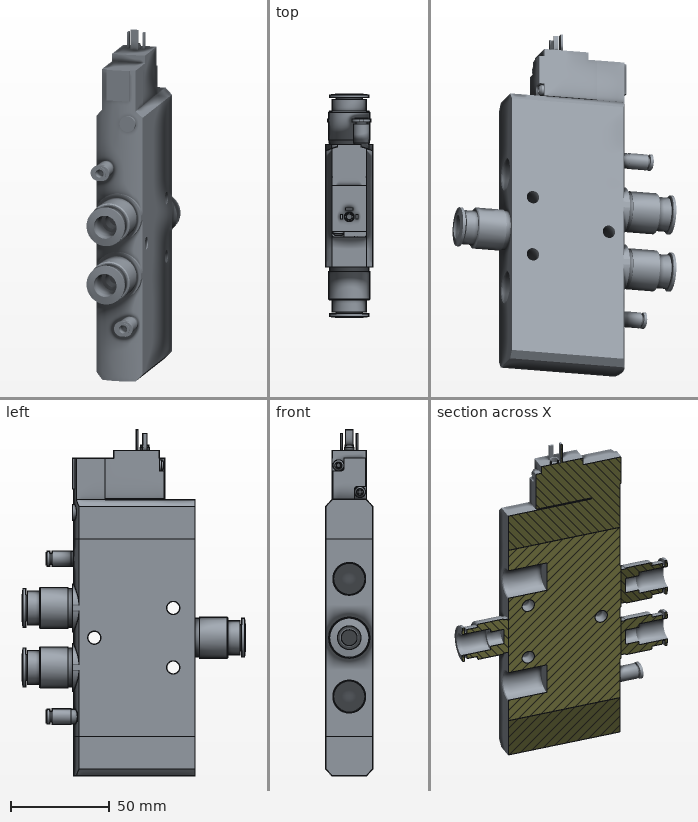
import cadquery as cq

BLOCK_WIDTH = 24.0
BLOCK_HEIGHT = 140.0
CROWN_Y = 61.6
CROWN_RISE = 2.8
EDGE_CHAMFER_X = 3.3
EDGE_CHAMFER_Z = 3.5
CAP_HEIGHT = 20.0
HOUSING_TOP = BLOCK_HEIGHT - CAP_HEIGHT
MID_Z = BLOCK_HEIGHT / 2
CROWN_RADIUS = ((BLOCK_WIDTH / 2) ** 2 + CROWN_RISE ** 2) / (2 * CROWN_RISE)

PORT_DIAMETER = 15.8
PORT_MOUTH_DIAMETER = 16.7
PORT_DEPTH = 21.0
PORT_OFFSET = 29.8
MOUNT_DIAMETER = 6.5
MOUNT_FRONT_Y = 11.0
MOUNT_BACK_Y = 51.0
FITTING_OFFSET = 15.1
BOSS_DIAMETER = 24.2
BOSS_ROOT_Y = 56.2
BOSS_Y = CROWN_Y + 0.5

NECK_DIAMETER = 19.8
NECK_END = 2.3
BARREL_DIAMETER = 20.9
BARREL_END = 16.8
BARREL_CHAMFER = 0.5
COLLAR_DIAMETER = 17.4
COLLAR_END = 22.8
GROOVE_DIAMETER = 13.3
FLANGE_DIAMETER = 19.8
FLANGE_START = 23.7
FLANGE_EDGE_END = 25.1
FITTING_LENGTH = 25.6
TUBE_DIAMETER = 12.0
TUBE_DEPTH = 15.8
FLOW_DIAMETER = 8.0

SMALL_X = 6.1
SMALL_OFFSET = 40.0
SMALL_SEAT_Y = 59.7
SMALL_NECK_DIAMETER = 7.7
SMALL_NECK_END_Y = 62.8
SMALL_BARREL_DIAMETER = 8.0
SMALL_BARREL_END_Y = 72.5
SMALL_GROOVE_DIAMETER = 5.6
SMALL_FLANGE_START_Y = 73.5
SMALL_FLANGE_LENGTH = 1.4
SMALL_FLANGE_WIDTH = 9.7
SMALL_FLANGE_HEIGHT = 7.7
SMALL_LIP_DIAMETER = 6.5
SMALL_LIP_LENGTH = 0.5
SMALL_TUBE_DIAMETER = 4.2
SMALL_TUBE_DEPTH = 10.5

PILOT_WIDTH = 17.5
PILOT_FRONT_Y = 45.6
PILOT_TOP = 161.1
LABEL_WIDTH = 12.0
LABEL_BOTTOM = 145.3
LABEL_ROOT_Y = 59.7
OVERRIDE_DIAMETER = 8.0
OVERRIDE_X = -5.0
OVERRIDE_Z = 133.5
COIL_WIDTH = 17.4
COIL_GAP = 0.4
COIL_TOP = 165.0
COIL_BACK_Y = 41.2
COIL_FRONT_Y = 18.0
PLATE_FRONT_Y = 15.3
PLATE_CHAMFER = 0.5
SCREW_X = 5.5
SCREW_UPPER_Z = 157.5
SCREW_LOWER_Z = 143.9
SCREW_DIAMETER = 5.6
SCREW_SOCKET_DIAMETER = 2.3
SCREW_HEIGHT = 2.1
SCREW_CHAMFER = 1.0
SCREW_POCKET_REACH = 2.8
SCREW_POCKET_FILLET = 1.5

CONTACT_Y = 25.5
POST_DIAMETER = 5.0
POST_HEIGHT = 1.5
POST_TIP_DIAMETER = 4.2
POST_TIP_HEIGHT = 1.0
POST_HOLE_DIAMETER = 3.0
SIDE_BLADE_X = 4.0
SIDE_BLADE_THICKNESS = 1.0
SIDE_BLADE_WIDTH = 2.3
SIDE_BLADE_TOP = 173.5
MIDDLE_BLADE_Y = 29.3
MIDDLE_BLADE_THICKNESS = 1.0
MIDDLE_BLADE_WIDTH = 3.9
OVERALL_TOP = 175.5


def box(x_range, y_range, z_range):
    """Box between the given limits."""
    size = [high - low for low, high in (x_range, y_range, z_range)]
    corner = (x_range[0], y_range[0], z_range[0])
    return cq.Workplane("XY").box(*size, centered=False).translate(corner)


def y_cylinder(diameter, x, z, y_start, y_end):
    """Cylinder along Y between two Y positions."""
    plane = cq.Workplane("XZ", origin=(x, y_start, z))
    return plane.circle(diameter / 2).extrude(y_start - y_end)


def crowned_prism(width, y_front, z_low, z_high):
    """Upright prism whose +Y side follows the common crown arc."""
    half = width / 2
    edge_y = CROWN_Y - CROWN_RADIUS + (CROWN_RADIUS ** 2 - half ** 2) ** 0.5
    return (
        cq.Workplane("XY", origin=(0, 0, z_low))
        .moveTo(-half, y_front)
        .lineTo(half, y_front)
        .lineTo(half, edge_y)
        .threePointArc((0, CROWN_Y), (-half, edge_y))
        .close()
        .extrude(z_high - z_low)
    )


def block_slice(z_low, z_high):
    """Part of the valve block between two heights, with its top and bottom edges bevelled."""
    half = BLOCK_WIDTH / 2
    flat = half - EDGE_CHAMFER_X
    shoulder = BLOCK_HEIGHT - EDGE_CHAMFER_Z
    outline = (
        cq.Workplane("XZ")
        .polyline([
            (-flat, 0), (flat, 0), (half, EDGE_CHAMFER_Z), (half, shoulder),
            (flat, BLOCK_HEIGHT), (-flat, BLOCK_HEIGHT), (-half, shoulder), (-half, EDGE_CHAMFER_Z),
        ])
        .close()
        .extrude(-CROWN_Y)
    )
    return crowned_prism(BLOCK_WIDTH, 0, z_low, z_high).intersect(outline)


def make_housing():
    """Middle of the valve block, with its ports, mounting holes and fitting seats."""
    housing = block_slice(CAP_HEIGHT, HOUSING_TOP)
    side_limits = box(
        (-BLOCK_WIDTH / 2, BLOCK_WIDTH / 2), (0, BOSS_Y), (CAP_HEIGHT, HOUSING_TOP)
    )
    for side in (-1, 1):
        boss = y_cylinder(BOSS_DIAMETER, 0, MID_Z + side * FITTING_OFFSET, BOSS_ROOT_Y, BOSS_Y)
        housing = housing.union(boss.intersect(side_limits))

    mouth_chamfer = (PORT_MOUTH_DIAMETER - PORT_DIAMETER) / 2
    for side in (-1, 1):
        z = MID_Z + side * PORT_OFFSET
        bore = y_cylinder(PORT_DIAMETER, 0, z, 0, PORT_DEPTH)
        mouth = (
            cq.Workplane("XZ", origin=(0, 0, z))
            .circle(PORT_MOUTH_DIAMETER / 2)
            .workplane(offset=-mouth_chamfer)
            .circle(PORT_DIAMETER / 2)
            .loft()
        )
        housing = housing.cut(bore).cut(mouth)

    mount_points = [
        (MOUNT_FRONT_Y, MID_Z - FITTING_OFFSET),
        (MOUNT_FRONT_Y, MID_Z + FITTING_OFFSET),
        (MOUNT_BACK_Y, MID_Z),
    ]
    mounts = cq.Workplane("YZ").pushPoints(mount_points).circle(MOUNT_DIAMETER / 2)
    housing = housing.cut(mounts.extrude(BLOCK_WIDTH / 2, both=True))

    for side in (-1, 1):
        z = MID_Z + side * SMALL_OFFSET
        seat = y_cylinder(SMALL_NECK_DIAMETER, side * SMALL_X, z, SMALL_SEAT_Y, BOSS_Y)
        housing = housing.cut(seat)
    return housing


def make_coil():
    """Solenoid coil just clear of the block top, with its stepped front plate and two screw heads."""
    half = COIL_WIDTH / 2
    bottom = BLOCK_HEIGHT + COIL_GAP
    coil = box((-half, half), (COIL_FRONT_Y, PILOT_FRONT_Y), (bottom, PILOT_TOP))
    coil = coil.union(box((-half, half), (COIL_FRONT_Y, COIL_BACK_Y), (bottom, COIL_TOP)))

    plate = box((-half, half), (PLATE_FRONT_Y, COIL_FRONT_Y), (bottom, PILOT_TOP))
    plate = plate.faces("<Y").edges("|Z").chamfer(PLATE_CHAMFER)
    inner_x = SCREW_X - SCREW_POCKET_REACH
    pocket_depth = (PLATE_FRONT_Y, COIL_FRONT_Y)
    upper_pocket = box((-half, -inner_x), pocket_depth, (SCREW_UPPER_Z - SCREW_POCKET_REACH, PILOT_TOP))
    upper_pocket = upper_pocket.edges("|Y and >X and <Z").fillet(SCREW_POCKET_FILLET)
    lower_pocket = box((inner_x, half), pocket_depth, (bottom, SCREW_LOWER_Z + SCREW_POCKET_REACH))
    lower_pocket = lower_pocket.edges("|Y and <X and >Z").fillet(SCREW_POCKET_FILLET)
    coil = coil.union(plate.cut(upper_pocket).cut(lower_pocket))

    for x, z in ((-SCREW_X, SCREW_UPPER_Z), (SCREW_X, SCREW_LOWER_Z)):
        head_y = COIL_FRONT_Y - SCREW_HEIGHT
        head = y_cylinder(SCREW_DIAMETER, x, z, head_y, COIL_FRONT_Y)
        head = head.faces("<Y").chamfer(SCREW_CHAMFER)
        socket = y_cylinder(SCREW_SOCKET_DIAMETER, x, z, head_y, COIL_FRONT_Y)
        coil = coil.union(head.cut(socket))
    return coil


def make_contacts():
    """List of the hollow post, the two side blades and the taller middle blade."""
    post = cq.Workplane("XY", origin=(0, CONTACT_Y, COIL_TOP))
    post = post.circle(POST_DIAMETER / 2).extrude(POST_HEIGHT)
    post = post.faces(">Z").workplane().circle(POST_TIP_DIAMETER / 2).extrude(POST_TIP_HEIGHT)
    post = post.faces(">Z").workplane().hole(POST_HOLE_DIAMETER, POST_HEIGHT + POST_TIP_HEIGHT)
    contacts = [post]
    for side in (-1, 1):
        height = SIDE_BLADE_TOP - COIL_TOP
        blade = cq.Workplane("XY", origin=(side * SIDE_BLADE_X, CONTACT_Y, COIL_TOP))
        blade = blade.rect(SIDE_BLADE_THICKNESS, SIDE_BLADE_WIDTH).extrude(height)
        contacts.append(blade)
    middle = cq.Workplane("XY", origin=(0, MIDDLE_BLADE_Y, COIL_TOP))
    middle = middle.rect(MIDDLE_BLADE_WIDTH, MIDDLE_BLADE_THICKNESS).extrude(OVERALL_TOP - COIL_TOP)
    contacts.append(middle)
    return contacts


def make_top_cap():
    """Top end of the valve block carrying the pilot block, the coil and its contacts."""
    cap = block_slice(HOUSING_TOP, BLOCK_HEIGHT)
    cap = cap.union(crowned_prism(PILOT_WIDTH, PILOT_FRONT_Y, BLOCK_HEIGHT, PILOT_TOP))
    label = box((-LABEL_WIDTH / 2, LABEL_WIDTH / 2), (LABEL_ROOT_Y, BOSS_Y), (LABEL_BOTTOM, PILOT_TOP))
    cap = cap.union(label)
    cap = cap.union(y_cylinder(OVERRIDE_DIAMETER, OVERRIDE_X, OVERRIDE_Z, BOSS_ROOT_Y, BOSS_Y))
    cap = cap.union(make_coil())
    for contact in make_contacts():
        cap = cap.union(contact)
    return cap


def make_large_fitting():
    """Push-in fitting standing on Y = 0 and pointing along +Y."""
    neck = NECK_DIAMETER / 2
    barrel = BARREL_DIAMETER / 2
    collar = COLLAR_DIAMETER / 2
    groove = GROOVE_DIAMETER / 2
    flange = FLANGE_DIAMETER / 2
    tube = TUBE_DIAMETER / 2
    flow = FLOW_DIAMETER / 2
    tube_floor = FITTING_LENGTH - TUBE_DEPTH
    return (
        cq.Workplane("XY")
        .polyline([
            (0, 0), (neck, 0), (neck, NECK_END), (barrel, NECK_END),
            (barrel, BARREL_END - BARREL_CHAMFER), (barrel - BARREL_CHAMFER, BARREL_END),
            (collar, BARREL_END), (collar, COLLAR_END), (groove, COLLAR_END),
            (groove, FLANGE_START), (flange, FLANGE_START), (flange, FLANGE_EDGE_END),
            (tube, FITTING_LENGTH), (tube, tube_floor), (flow, tube_floor), (flow, NECK_END), (0, NECK_END),
        ])
        .close()
        .revolve(360, (0, 0, 0), (0, 1, 0))
    )


def make_small_fitting(x, z):
    """Small push-in fitting with an oblong release flange."""
    groove_y = SMALL_BARREL_END_Y
    flange_end_y = SMALL_FLANGE_START_Y + SMALL_FLANGE_LENGTH
    end_y = flange_end_y + SMALL_LIP_LENGTH
    fitting = y_cylinder(SMALL_NECK_DIAMETER, x, z, SMALL_SEAT_Y, SMALL_NECK_END_Y)
    fitting = fitting.union(y_cylinder(SMALL_BARREL_DIAMETER, x, z, SMALL_NECK_END_Y, groove_y))
    fitting = fitting.union(y_cylinder(SMALL_GROOVE_DIAMETER, x, z, groove_y, SMALL_FLANGE_START_Y))
    flange = cq.Workplane("XZ", origin=(x, SMALL_FLANGE_START_Y, z))
    flange = flange.slot2D(SMALL_FLANGE_WIDTH, SMALL_FLANGE_HEIGHT).extrude(-SMALL_FLANGE_LENGTH)
    fitting = fitting.union(flange)
    fitting = fitting.union(y_cylinder(SMALL_LIP_DIAMETER, x, z, flange_end_y, end_y))
    return fitting.cut(y_cylinder(SMALL_TUBE_DIAMETER, x, z, end_y - SMALL_TUBE_DEPTH, end_y))


housing = make_housing()
top_cap = make_top_cap()
bottom_cap = block_slice(0, CAP_HEIGHT)

large_fitting = make_large_fitting()
large_fittings = [large_fitting.rotate((0, 0, 0), (0, 0, 1), 180).translate((0, 0, MID_Z))]
small_fittings = []
for side in (-1, 1):
    large_fittings.append(large_fitting.translate((0, BOSS_Y, MID_Z + side * FITTING_OFFSET)))
    small_fittings.append(make_small_fitting(side * SMALL_X, MID_Z + side * SMALL_OFFSET))

result = cq.Compound.makeCompound([
    housing.val(),
    top_cap.val(),
    bottom_cap.val(),
    *[fitting.val() for fitting in large_fittings],
    *[fitting.val() for fitting in small_fittings],
])